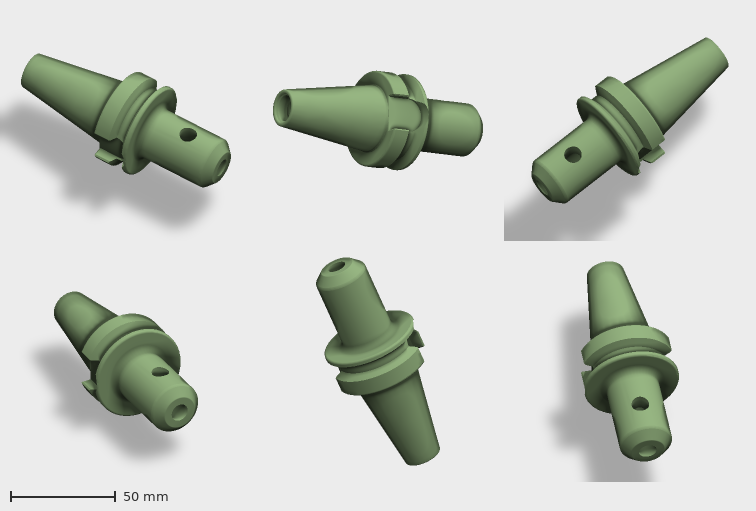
import cadquery as cq
import math

total_length = 108.7
taper_length = 48.5
flange_start = 49.8
groove_start = 58.1
groove_floor_width = 3.8
flange_end = 68.7

gauge_radius = 31.9 / 2
taper_ratio = 7 / 48
flange_radius = 46.0 / 2
groove_depth = 3.9
groove_flank_angle = 60.0
shank_radius = 25.4 / 2
shank_chamfer = 4.6

flank_width = groove_depth / math.tan(math.radians(groove_flank_angle))
groove_floor_start = groove_start + flank_width

small_end_round = 0.9
flange_front_round = 1.0
flange_back_round = 1.1
flange_root_round = 0.5
shank_root_round = 2.8
shank_shoulder_round = 2.0
shank_end_round = 0.7

bore_radius = 8.7 / 2
thread_radius = 10.1 / 2
thread_end = 30.5
thread_mouth_radius = 10.5 / 2
pilot_radius = 12.5 / 2
pilot_end = 5.0
relief_radius = 13.0 / 2
relief_end = 6.7
mouth_round = 1.0
mouth_radius = 6.9

slot_half_width = 8.0
slot_floor_offset = 16.2
slot_center_x = 60.2
slot_edge_chamfer = 0.7
radial_hole_diameter = 8.4
radial_hole_x = 89.7


def revolve_about_axis(profile):
    """Turn a closed profile, drawn as (x, radius), about the X axis."""
    return profile.close().revolve(360, (0, 0, 0), (1, 0, 0))


def round_rim(body, x, radius, round_radius):
    """Fillet the circular edge of the given radius in the plane at x."""
    tolerance = 0.01

    def is_rim(edge):
        return abs(edge.Center().x - x) < tolerance and abs(edge.radius() - radius) < tolerance

    return body.edges("%CIRCLE").filter(is_rim).fillet(round_radius)


def make_body():
    small_end_radius = gauge_radius - taper_length * taper_ratio
    groove_floor_end = groove_floor_start + groove_floor_width
    groove_end = groove_floor_end + flank_width
    groove_radius = flange_radius - groove_depth
    profile = (
        cq.Workplane("XY")
        .lineTo(0, small_end_radius)
        .lineTo(taper_length, gauge_radius)
        .lineTo(flange_start, gauge_radius)
        .lineTo(flange_start, flange_radius)
        .lineTo(groove_start, flange_radius)
        .lineTo(groove_floor_start, groove_radius)
        .lineTo(groove_floor_end, groove_radius)
        .lineTo(groove_end, flange_radius)
        .lineTo(flange_end, flange_radius)
        .lineTo(flange_end, shank_radius)
        .lineTo(total_length - shank_chamfer, shank_radius)
        .lineTo(total_length, shank_radius - shank_chamfer)
        .lineTo(total_length, 0)
    )
    body = revolve_about_axis(profile)
    rounds = [
        (0, small_end_radius, small_end_round),
        (flange_start, gauge_radius, flange_root_round),
        (flange_start, flange_radius, flange_front_round),
        (flange_end, flange_radius, flange_back_round),
        (flange_end, shank_radius, shank_root_round),
        (total_length - shank_chamfer, shank_radius, shank_shoulder_round),
        (total_length, shank_radius - shank_chamfer, shank_end_round),
    ]
    for x, radius, round_radius in rounds:
        body = round_rim(body, x, radius, round_radius)
    return body


def make_bore():
    """Through bore with a round-lipped pilot, a relief groove and a threaded length."""
    pilot_start = mouth_round + mouth_radius - pilot_radius
    thread_start = relief_end + thread_mouth_radius - thread_radius
    profile = (
        cq.Workplane("XY")
        .lineTo(0, mouth_radius + mouth_round)
        .radiusArc((mouth_round, mouth_radius), -mouth_round)
        .lineTo(pilot_start, pilot_radius)
        .lineTo(pilot_end, pilot_radius)
        .lineTo(pilot_end, relief_radius)
        .lineTo(relief_end, relief_radius)
        .lineTo(relief_end, thread_mouth_radius)
        .lineTo(thread_start, thread_radius)
        .lineTo(thread_end, thread_radius)
        .lineTo(thread_end, bore_radius)
        .lineTo(total_length, bore_radius)
        .lineTo(total_length, 0)
    )
    return revolve_about_axis(profile)


def make_drive_slot():
    """Round-ended keyway on the -Y side, open toward the taper, with chamfered wall edges."""
    slot_depth = flange_radius - slot_floor_offset
    mouth_half_width = slot_half_width + slot_edge_chamfer
    opening = (
        cq.Workplane("XZ", origin=(0, -slot_floor_offset, 0))
        .moveTo(flange_start, -mouth_half_width)
        .lineTo(flange_start + slot_edge_chamfer, -slot_half_width)
        .lineTo(slot_center_x, -slot_half_width)
        .threePointArc((slot_center_x + slot_half_width, 0), (slot_center_x, slot_half_width))
        .lineTo(flange_start + slot_edge_chamfer, slot_half_width)
        .lineTo(flange_start, mouth_half_width)
        .close()
        .extrude(slot_depth)
    )
    rim_offset = math.sqrt(flange_radius**2 - mouth_half_width**2)
    bevel_length = groove_floor_start - flange_start
    bevel = (
        cq.Workplane("YZ", origin=(flange_start, 0, 0))
        .moveTo(-rim_offset + slot_edge_chamfer, -slot_half_width)
        .lineTo(-rim_offset, -mouth_half_width)
        .lineTo(-flange_radius, -mouth_half_width)
        .lineTo(-flange_radius, mouth_half_width)
        .lineTo(-rim_offset, mouth_half_width)
        .lineTo(-rim_offset + slot_edge_chamfer, slot_half_width)
        .close()
        .extrude(bevel_length)
    )
    return opening.union(bevel)


def make_radial_hole():
    return (
        cq.Workplane("XY")
        .center(radial_hole_x, 0)
        .circle(radial_hole_diameter / 2)
        .extrude(shank_radius)
    )


slot = make_drive_slot()
result = make_body().cut(make_bore()).cut(slot).cut(slot.mirror("XZ")).cut(make_radial_hole())